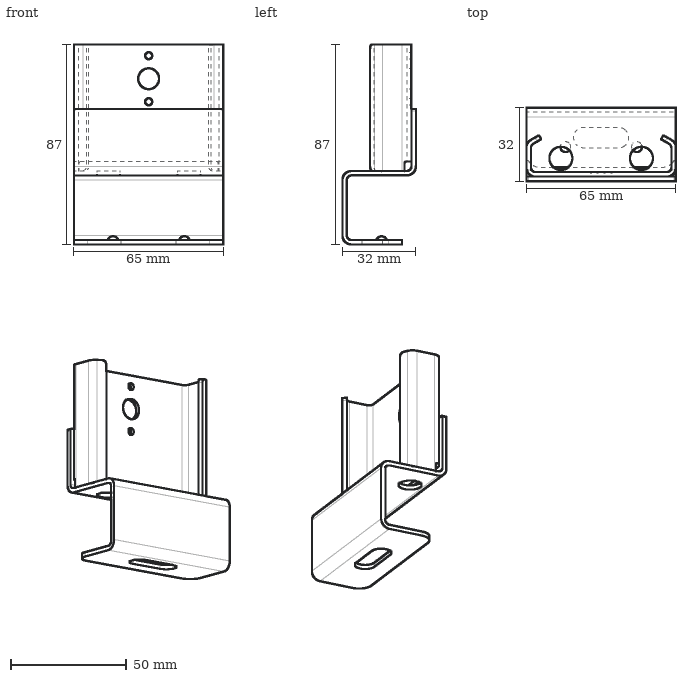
import cadquery as cq
import math

width = 65.0
height = 87.0
sheet = 2.0
inner_bend = 2.0
outer_bend = inner_bend + sheet

bracket_depth = 32.0
shelf_top = 32.0
front_plate_top = 59.0
front_plate_corner = 1.0
foot_front = 6.0
foot_corner = 6.0
shelf_hole_diameter = 10.0
shelf_hole_offset = 17.5
shelf_hole_y = 10.0
slot_width = 9.0
slot_length = 23.9
slot_y = 19.0
dome_radius = 2.3
dome_height = 1.65
dome_offset = 15.5
dome_y = 15.0

channel_front = sheet
side_end = 14.5
lip_bend_angle = math.radians(60)
lip_length = 4.0
lip_corner = 2.0
web_clearance = 4.0
notch_back = 5.0
notch_corner = 0.6
centre_hole_diameter = 9.0
centre_hole_z = 72.0
small_hole_diameter = 3.0
small_hole_spacing = 20.0


def bracket_sheet():
    """Front plate, shelf, back wall and foot bent from one strip."""
    shelf_bottom = shelf_top - sheet
    profile = (
        cq.Workplane("YZ", origin=(-width / 2, 0, 0))
        .moveTo(0, front_plate_top)
        .lineTo(0, shelf_bottom)
        .lineTo(bracket_depth - sheet, shelf_bottom)
        .lineTo(bracket_depth - sheet, sheet)
        .lineTo(foot_front, sheet)
        .lineTo(foot_front, 0)
        .lineTo(bracket_depth, 0)
        .lineTo(bracket_depth, shelf_top)
        .lineTo(sheet, shelf_top)
        .lineTo(sheet, front_plate_top)
        .close()
        .extrude(width)
    )

    def bend_edge(y, z):
        return cq.selectors.NearestToPointSelector((0, y, z))

    outer_corners = [(0, shelf_bottom), (bracket_depth, shelf_top), (bracket_depth, 0)]
    inner_corners = [
        (sheet, shelf_top),
        (bracket_depth - sheet, shelf_bottom),
        (bracket_depth - sheet, sheet),
    ]
    for y, z in outer_corners:
        profile = profile.edges(bend_edge(y, z)).fillet(outer_bend)
    for y, z in inner_corners:
        profile = profile.edges(bend_edge(y, z)).fillet(inner_bend)
    profile = profile.faces(">Z").edges("|Y").fillet(front_plate_corner)
    for side in (-1, 1):
        foot_edge = cq.selectors.NearestToPointSelector((side * width / 2, foot_front, sheet / 2))
        profile = profile.edges(foot_edge).fillet(foot_corner)
    return profile


def foot_dome(x):
    """Spherical cap rising from the upper face of the foot."""
    sphere_radius = (dome_radius**2 + dome_height**2) / (2 * dome_height)
    sphere_z = sheet + dome_height - sphere_radius
    cap_space = cq.Workplane(origin=(x, dome_y, sheet / 2)).circle(dome_radius).extrude(shelf_top / 2)
    return cq.Workplane(origin=(x, dome_y, sphere_z)).sphere(sphere_radius).intersect(cap_space)


def make_bracket():
    bracket = bracket_sheet()
    shelf_holes = (
        cq.Workplane(origin=(0, shelf_hole_y, shelf_top))
        .pushPoints([(-shelf_hole_offset, 0), (shelf_hole_offset, 0)])
        .circle(shelf_hole_diameter / 2)
        .extrude(-sheet)
    )
    slot = cq.Workplane(origin=(0, slot_y, 0)).slot2D(slot_length, slot_width).extrude(sheet)
    bracket = bracket.cut(shelf_holes).cut(slot)
    for side in (-1, 1):
        bracket = bracket.union(foot_dome(side * dome_offset))
    return bracket


def channel_half(side):
    """Half of the channel: web, side wall and inward lip, on the given side of x = 0."""
    bend_x = width / 2 - outer_bend
    front_bend_y = channel_front + outer_bend
    diagonal = math.sqrt(0.5)
    lip_sin = math.sin(lip_bend_angle)
    lip_cos = math.cos(lip_bend_angle)

    def front_bend_point(radius):
        return side * (bend_x + radius * diagonal), front_bend_y - radius * diagonal

    def lip_bend_point(radius, angle):
        return side * (bend_x + radius * math.cos(angle)), side_end + radius * math.sin(angle)

    def lip_tip(radius):
        x, y = lip_bend_point(radius, lip_bend_angle)
        return x - side * lip_length * lip_sin, y + lip_length * lip_cos

    half = (
        cq.Workplane(origin=(0, 0, shelf_top))
        .moveTo(0, channel_front)
        .lineTo(side * bend_x, channel_front)
        .threePointArc(front_bend_point(outer_bend), (side * width / 2, front_bend_y))
        .lineTo(side * width / 2, side_end)
        .threePointArc(lip_bend_point(outer_bend, lip_bend_angle / 2),
                       lip_bend_point(outer_bend, lip_bend_angle))
        .lineTo(*lip_tip(outer_bend))
        .lineTo(*lip_tip(inner_bend))
        .lineTo(*lip_bend_point(inner_bend, lip_bend_angle))
        .threePointArc(lip_bend_point(inner_bend, lip_bend_angle / 2),
                       (side * (bend_x + inner_bend), side_end))
        .lineTo(side * (bend_x + inner_bend), front_bend_y)
        .threePointArc(front_bend_point(inner_bend), (side * bend_x, channel_front + sheet))
        .lineTo(0, channel_front + sheet)
        .close()
        .extrude(height - shelf_top)
    )
    tip_x = (lip_tip(outer_bend)[0] + lip_tip(inner_bend)[0]) / 2
    tip_y = (lip_tip(outer_bend)[1] + lip_tip(inner_bend)[1]) / 2
    for z in (shelf_top, height):
        corner_edge = cq.selectors.NearestToPointSelector((tip_x, tip_y, z))
        half = half.edges(corner_edge).fillet(lip_corner)
    return half


def make_channel():
    channel = channel_half(-1).union(channel_half(1))
    clearance = (
        cq.Workplane(origin=(0, 0, shelf_top))
        .box(width, notch_back, web_clearance, centered=(True, False, False))
        .edges("|X and >Y and >Z")
        .fillet(notch_corner)
    )
    web_holes = (
        cq.Workplane("XZ", origin=(0, channel_front, centre_hole_z))
        .circle(centre_hole_diameter / 2)
        .pushPoints([(0, -small_hole_spacing / 2), (0, small_hole_spacing / 2)])
        .circle(small_hole_diameter / 2)
        .extrude(-sheet)
    )
    return channel.cut(clearance).cut(web_holes)


bracket = make_bracket()
channel = make_channel()
result = cq.Compound.makeCompound([bracket.val(), channel.val()])